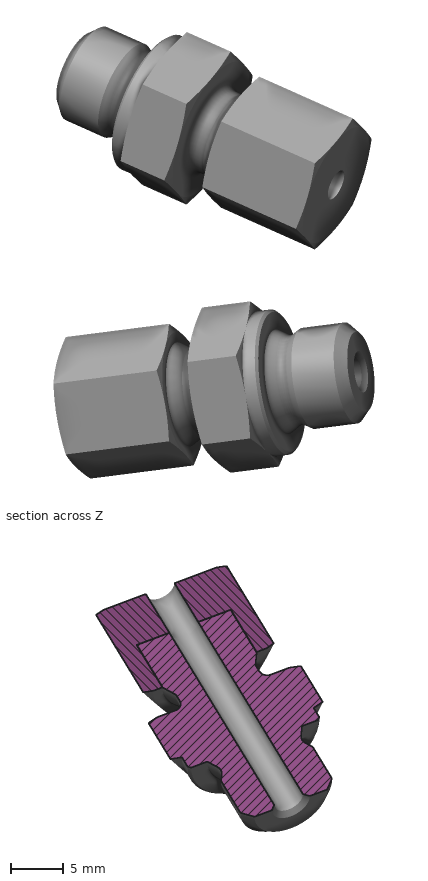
import cadquery as cq
import math


FLANGE_START = 8.0
HEX_START = 9.5
HEX_END = 15.0
NUT_START = 18.0
NUT_END = 29.0

STUD_RADIUS = 4.87
STUD_CHAMFER = 1.02
GROOVE_CENTRE = 6.5
GROOVE_RADIUS = 4.32
GROOVE_STUD_FILLET = 0.85
GROOVE_FLANGE_FILLET = 1.0
FLANK_ANGLE = math.radians(30)

BODY_FLATS = 14.0
FLANGE_RADIUS = BODY_FLATS / 2
FLANGE_CHAMFER = 0.25

NECK_RADIUS = 4.23
NECK_FILLET = 0.8
SPIGOT_RADIUS = 5.02
SPIGOT_END = 23.78

NUT_FLATS = 12.0

BORE_RADIUS = 1.5
BORE_MOUTH_RADIUS = 2.0

CORNER_ANGLE = math.radians(15)


def chamfered_hexagon(start, end, flats):
    """Hexagonal bar along X, corners at +Y and -Y, turned conically at both ends."""
    corner_radius = flats / math.sqrt(3)
    face_radius = flats / 2
    chamfer_depth = (corner_radius - face_radius) * math.tan(CORNER_ANGLE)
    bar = (
        cq.Workplane("YZ", origin=(start, 0, 0))
        .polygon(6, 2 * corner_radius)
        .extrude(end - start)
    )
    envelope = (
        cq.Workplane("XY")
        .moveTo(start, 0)
        .lineTo(start, face_radius)
        .lineTo(start + chamfer_depth, corner_radius)
        .lineTo(end - chamfer_depth, corner_radius)
        .lineTo(end, face_radius)
        .lineTo(end, 0)
        .close()
        .revolve(360, (0, 0, 0), (1, 0, 0))
    )
    return bar.intersect(envelope)


def fillet_run(radius):
    """Axial length of a fillet that turns from the groove floor to its flank."""
    return radius * math.sin(FLANK_ANGLE)


def fillet_rise(radius):
    """Radial height of the same fillet."""
    return radius * (1 - math.cos(FLANK_ANGLE))


def make_stud():
    """Chamfered stud, undercut and flange as one turned profile."""
    slope = math.tan(FLANK_ANGLE)
    stud_fillet_x = GROOVE_CENTRE - fillet_run(GROOVE_STUD_FILLET)
    stud_fillet_r = GROOVE_RADIUS + fillet_rise(GROOVE_STUD_FILLET)
    flange_fillet_x = GROOVE_CENTRE + fillet_run(GROOVE_FLANGE_FILLET)
    flange_fillet_r = GROOVE_RADIUS + fillet_rise(GROOVE_FLANGE_FILLET)
    thread_end = stud_fillet_x - (STUD_RADIUS - stud_fillet_r) / slope
    flank_top = flange_fillet_r + (FLANGE_START - flange_fillet_x) * slope
    return (
        cq.Workplane("XY")
        .moveTo(0, 0)
        .lineTo(0, STUD_RADIUS - STUD_CHAMFER)
        .lineTo(STUD_CHAMFER, STUD_RADIUS)
        .lineTo(thread_end, STUD_RADIUS)
        .lineTo(stud_fillet_x, stud_fillet_r)
        .tangentArcPoint((GROOVE_CENTRE, GROOVE_RADIUS), relative=False)
        .tangentArcPoint((flange_fillet_x, flange_fillet_r), relative=False)
        .lineTo(FLANGE_START, flank_top)
        .lineTo(FLANGE_START, FLANGE_RADIUS - FLANGE_CHAMFER)
        .lineTo(FLANGE_START + FLANGE_CHAMFER, FLANGE_RADIUS)
        .lineTo(HEX_START, FLANGE_RADIUS)
        .lineTo(HEX_START, 0)
        .close()
        .revolve(360, (0, 0, 0), (1, 0, 0))
    )


def make_spigot():
    """Filleted neck that widens through a cone to the spigot inside the nut."""
    cone_length = (SPIGOT_RADIUS - NECK_RADIUS) / math.tan(FLANK_ANGLE)
    return (
        cq.Workplane("XY")
        .moveTo(HEX_END, 0)
        .lineTo(HEX_END, NECK_RADIUS + NECK_FILLET)
        .radiusArc((HEX_END + NECK_FILLET, NECK_RADIUS), -NECK_FILLET)
        .lineTo(NUT_START - cone_length, NECK_RADIUS)
        .lineTo(NUT_START, SPIGOT_RADIUS)
        .lineTo(SPIGOT_END, SPIGOT_RADIUS)
        .lineTo(SPIGOT_END, 0)
        .close()
        .revolve(360, (0, 0, 0), (1, 0, 0))
    )


def make_bore_cutter():
    """Through bore with a 45 degree countersink at the stud end."""
    countersink_depth = BORE_MOUTH_RADIUS - BORE_RADIUS
    return (
        cq.Workplane("XY")
        .moveTo(0, 0)
        .lineTo(0, BORE_MOUTH_RADIUS)
        .lineTo(countersink_depth, BORE_RADIUS)
        .lineTo(NUT_END, BORE_RADIUS)
        .lineTo(NUT_END, 0)
        .close()
        .revolve(360, (0, 0, 0), (1, 0, 0))
    )


def make_fitting_body():
    """Stud, hexagon and spigot in one piece, with the flow bore."""
    hexagon = chamfered_hexagon(HEX_START, HEX_END, BODY_FLATS)
    return make_stud().union(hexagon).union(make_spigot()).cut(make_bore_cutter())


def make_nut():
    """Hexagonal nut with a socket for the spigot; the bore continues to its far end."""
    hexagon = chamfered_hexagon(NUT_START, NUT_END, NUT_FLATS)
    socket = (
        cq.Workplane("YZ", origin=(NUT_START, 0, 0))
        .circle(SPIGOT_RADIUS)
        .extrude(SPIGOT_END - NUT_START)
    )
    return hexagon.cut(socket).cut(make_bore_cutter())


fitting_body = make_fitting_body()
nut = make_nut()

result = cq.Compound.makeCompound([fitting_body.val(), nut.val()])